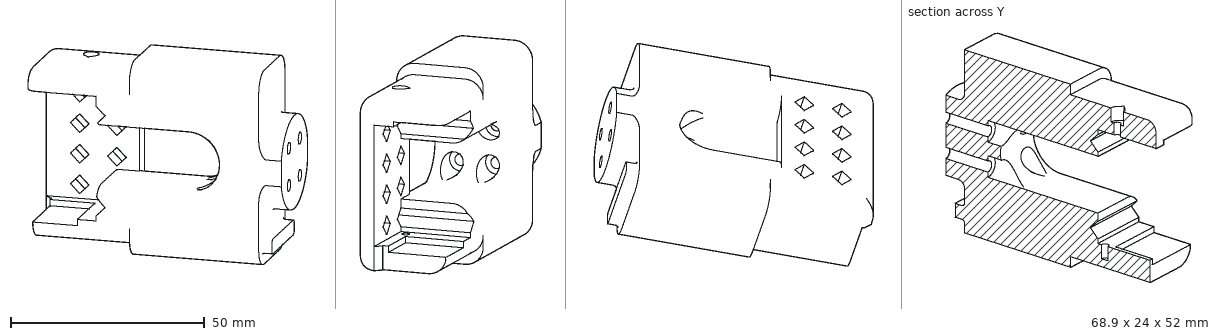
import cadquery as cq
import math

length = 68.85
width = 24.0
body_height = 52.0
arm_height = 46.0
edge_radius = 5.0

body_start = 28.0
body_end = 62.8
recess_end = 19.0
shelf_start = 2.0
end_radius = 3.0

plate_front = 7.2
plate_end = 25.05
recess_bottom = -16.6
recess_top = 16.8
step_top = 15.5
step_front = 1.85

heel_front = 5.5
heel_slope_end = 1.5

pocket_end = 14.05
pocket_back = 4.0
pocket_depth = 1.65

slot_radius = 8.0
slot_arc_x = 42.95

diamond_side = 3.5
diamond_pitch_x = 10.0
diamond_pitch_z = 8.2
diamond_rows = 4
diamond_middle_z = (recess_bottom + step_top) / 2

bolt_diameter = 3.0
bolt_head_diameter = 6.0
bolt_pitch = 10.0
bolt_seat_x = 55.1

drop_diameter = 4.0
drop_depth = 4.0
drop_x = 12.75
small_hole_diameter = 2.0
shelf_hole_x = 16.8
shelf_hole_depth = 4.0
small_hole_y = 5.0

boss_diameter = 25.0
boss_fillet = 2.0
key_length = 3.0
key_height = 4.0
key_width = 20.4
key_z = -20.4
key_corner_radius = 0.95
key_fillet = 0.95


def block(x0, x1, y0, y1, z0, z1):
    """Axis-aligned box given by its limits."""
    box = cq.Workplane("XY").box(x1 - x0, y1 - y0, z1 - z0, centered=False)
    return box.translate((x0, y0, z0))


def rounded_bar(x0, x1, height):
    """Full-width bar along X with its four long edges rounded."""
    bar = block(x0, x1, -width / 2, width / 2, -height / 2, height / 2)
    return bar.edges("|X").fillet(edge_radius)


def slotted_body():
    """Stepped body with the U-shaped slot, open toward -X and rounded at both mouths."""
    body = rounded_bar(recess_end, body_end, arm_height)
    body = body.union(rounded_bar(body_start, body_end, body_height))
    slot = (
        cq.Workplane("XZ")
        .moveTo(0, slot_radius)
        .lineTo(slot_arc_x, slot_radius)
        .threePointArc((slot_arc_x + slot_radius, 0), (slot_arc_x, -slot_radius))
        .lineTo(0, -slot_radius)
        .close()
        .extrude(width / 2, both=True)
    )
    body = body.cut(slot)
    margin = 0.7
    mouth_limits = cq.selectors.BoxSelector(
        (recess_end, -width, -slot_radius - margin),
        (slot_arc_x + slot_radius + margin, width, slot_radius + margin),
    )
    mouths = body.faces("<Y or >Y").edges(mouth_limits)
    return body.newObject(mouths.vals()).fillet(edge_radius)


def jaw():
    """Two arms and the back plate that joins them."""
    top = arm_height / 2
    ends = rounded_bar(0, plate_end, arm_height)
    rounding = block(0, plate_end, -width / 2, width / 2, -body_height, top)
    rounding = rounding.edges("|X and >Z").fillet(edge_radius)
    rounding = rounding.faces("<X").edges("not <Z").fillet(end_radius)
    ends = ends.intersect(rounding)

    recess = block(0, recess_end, -width / 2, plate_front, recess_bottom, step_top)
    upper_step = block(0, recess_end, -width / 2, step_front, recess_bottom, recess_top)
    beyond_arms = block(recess_end, plate_end, -width / 2, plate_front, -top, top)
    below_shelf_end = (
        cq.Workplane("XY")
        .polyline([
            (0, -width / 2),
            (0, plate_front),
            (heel_slope_end, heel_front),
            (shelf_start, heel_front),
            (shelf_start, -width / 2),
        ])
        .close()
        .extrude(recess_bottom + top)
        .translate((0, 0, -top))
    )
    pocket = block(0, pocket_end, -width / 2, pocket_back, recess_bottom - pocket_depth, recess_bottom)
    for cutter in (recess, upper_step, beyond_arms, below_shelf_end, pocket):
        ends = ends.cut(cutter)
    return ends


def boss():
    """Round boss with a flared foot, trimmed to the width of the body."""
    radius = boss_diameter / 2
    foot = radius + boss_fillet
    arc_mid = boss_fillet * (1 - math.sqrt(0.5))
    profile = (
        cq.Workplane("XY")
        .moveTo(body_end, 0)
        .lineTo(body_end, foot)
        .threePointArc((body_end + arc_mid, radius + arc_mid), (body_end + boss_fillet, radius))
        .lineTo(length, radius)
        .lineTo(length, 0)
        .close()
    )
    turned = profile.revolve(360, (0, 0, 0), (1, 0, 0))
    return turned.intersect(block(body_end, length, -width / 2, width / 2, -foot, foot))


def add_key(solid):
    """Rounded key below the boss, blended into the +X face."""
    key = block(
        body_end, body_end + key_length,
        -key_width / 2, key_width / 2,
        key_z - key_height / 2, key_z + key_height / 2,
    )
    solid = solid.union(key.edges("|X").fillet(key_corner_radius))
    margin = 0.1
    foot = cq.selectors.BoxSelector(
        (body_end - margin, -key_width / 2 - margin, key_z - key_height / 2 - margin),
        (body_end + margin, key_width / 2 + margin, key_z + key_height / 2 + margin),
    )
    return solid.edges(foot).fillet(key_fillet)


def diamond_holes():
    """Square holes set on a corner, in two columns; the second column notches the recess wall."""
    cutters = cq.Workplane("XY")
    for column in range(2):
        for row in range(diamond_rows):
            x = recess_end - column * diamond_pitch_x
            z = diamond_middle_z + (row - (diamond_rows - 1) / 2) * diamond_pitch_z
            bar = cq.Workplane("XY").box(diamond_side, width, diamond_side)
            bar = bar.rotate((0, 0, 0), (0, 1, 0), 45)
            cutters = cutters.add(bar.translate((x, 0, z)))
    return cutters.combine()


def bolt_holes():
    """Four bolt holes through the +X wall, counterbored from the slot."""
    centres = cq.Workplane("YZ", origin=(slot_arc_x, 0, 0)).rarray(bolt_pitch, bolt_pitch, 2, 2)
    shanks = centres.circle(bolt_diameter / 2).extrude(length - slot_arc_x)
    heads = centres.circle(bolt_head_diameter / 2).extrude(bolt_seat_x - slot_arc_x)
    return shanks.union(heads)


def small_hole(x, z_from, z_to):
    """Small vertical hole between two heights."""
    hole = cq.Workplane("XY").circle(small_hole_diameter / 2).extrude(z_to - z_from)
    return hole.translate((x, small_hole_y, z_from))


def teardrop_hole():
    """Round recess with a right-angled point toward -Y, and a small hole through its floor."""
    radius = drop_diameter / 2
    tangent = radius * math.sqrt(0.5)
    top = arm_height / 2
    recess = (
        cq.Workplane("XY")
        .moveTo(-tangent, -tangent)
        .threePointArc((0, radius), (tangent, -tangent))
        .lineTo(0, -radius * math.sqrt(2))
        .close()
        .extrude(drop_depth)
        .translate((drop_x, small_hole_y, top - drop_depth))
    )
    return recess.union(small_hole(drop_x, step_top, top))


def shelf_hole():
    """Blind hole in the top of the lower shelf."""
    return small_hole(shelf_hole_x, recess_bottom - shelf_hole_depth, recess_bottom)


result = add_key(slotted_body().union(jaw()).union(boss()))
for cutter in (diamond_holes(), bolt_holes(), teardrop_hole(), shelf_hole()):
    result = result.cut(cutter)